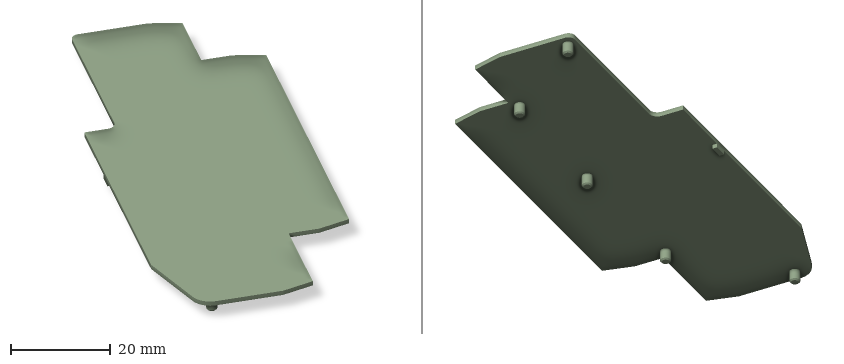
import cadquery as cq

length = 100.3
width = 42.6
plate_thickness = 1.0
shoulder_y = 29.6
left_bottom_y = 6.7
step_x = 34.5
upper_left_x = 15.6
upper_right_x = 80.6
taper_inset = 1.7
taper_height = 6.6
slant_start_x = 84.2
slant_end_y = 5.9
left_corner_radius = 1.5
step_radius = 1.8
right_corner_radius = 4.3

pin_diameter = 2.2
pin_length = 2.5
pin_chamfer = 0.3
lower_pin_y = 8.8
middle_pin_y = 28.0
upper_pin_y = 28.6
pin_centers = [
    (2.4, lower_pin_y),
    (17.5, middle_pin_y),
    (46.9, upper_pin_y),
    (78.7, middle_pin_y),
    (97.7, lower_pin_y),
]
tab_start_x = 48.7
tab_length = 3.0
tab_width = 1.0
tab_depth = 0.9


def vertical_edge_near(x, y):
    """Select the upright plate edge closest to the given outline corner."""
    return cq.selectors.NearestToPointSelector((x, y, plate_thickness / 2))


def make_plate():
    """Build the stepped plate with its underside at Z = 0."""
    outline = [
        (step_x, 0),
        (slant_start_x, 0),
        (length, slant_end_y),
        (length, shoulder_y - taper_height),
        (length - taper_inset, shoulder_y),
        (upper_right_x, shoulder_y),
        (upper_right_x, width - taper_height),
        (upper_right_x - taper_inset, width),
        (upper_left_x + taper_inset, width),
        (upper_left_x, width - taper_height),
        (upper_left_x, shoulder_y),
        (taper_inset, shoulder_y),
        (0, shoulder_y - taper_height),
        (0, left_bottom_y),
        (step_x, left_bottom_y),
    ]
    plate = cq.Workplane("XY").polyline(outline).close().extrude(plate_thickness)
    rounded_corners = [
        (0, left_bottom_y, left_corner_radius),
        (step_x, left_bottom_y, step_radius),
        (length, slant_end_y, right_corner_radius),
    ]
    for x, y, radius in rounded_corners:
        plate = plate.edges("|Z").edges(vertical_edge_near(x, y)).fillet(radius)
    return plate


def make_pins():
    """Build the locating pins, chamfered at their free ends."""
    pins = cq.Workplane("XY").pushPoints(pin_centers).circle(pin_diameter / 2).extrude(-pin_length)
    return pins.faces("<Z").chamfer(pin_chamfer)


def make_tab():
    """Build the small tab under the lower edge of the plate."""
    tab = cq.Workplane("XY").rect(tab_length, tab_width, centered=False).extrude(-tab_depth)
    return tab.translate((tab_start_x, 0, 0))


result = make_plate().union(make_pins()).union(make_tab())